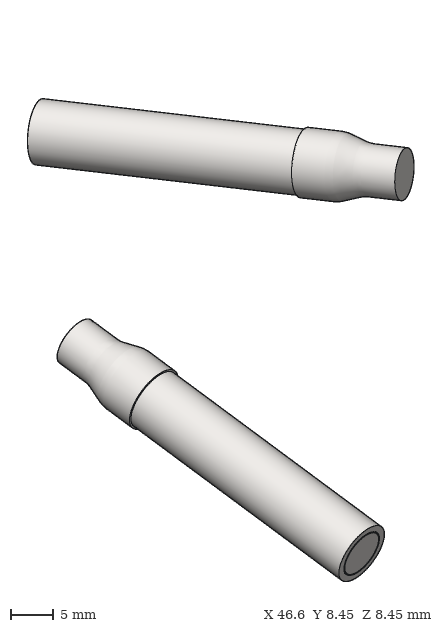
import cadquery as cq

overall_length = 46.55
tube_length = 33.8
tube_diameter = 7.95
bore_diameter = 6.2
core_gap = 0.15
collar_diameter = 8.45
nose_diameter = 6.4
taper_start = 38.55
taper_end = 41.75
taper_blend_radius = 3.2

tube_radius = tube_diameter / 2
bore_radius = bore_diameter / 2
core_radius = bore_radius - core_gap
collar_radius = collar_diameter / 2
nose_radius = nose_diameter / 2


def revolve_about_x(outline):
    """Close an outline of (x, radius) points and turn it about the X axis."""
    return cq.Workplane("XZ").polyline(outline).close().revolve(360, (0, 0, 0), (1, 0, 0))


def make_tube():
    """Straight tube that butts against the end cap."""
    return revolve_about_x([
        (0, bore_radius),
        (0, tube_radius),
        (tube_length, tube_radius),
        (tube_length, bore_radius),
    ])


def make_core():
    """Round core, flush with the tube's open end and clear of its bore by a narrow ring gap."""
    return revolve_about_x([
        (0, 0),
        (0, core_radius),
        (tube_length, core_radius),
        (tube_length, 0),
    ])


def make_end_cap():
    """Collar that tapers down to a nose, with both ends of the taper blended."""
    cap = revolve_about_x([
        (tube_length, 0),
        (tube_length, collar_radius),
        (taper_start, collar_radius),
        (taper_end, nose_radius),
        (overall_length, nose_radius),
        (overall_length, 0),
    ])
    taper_edges = cap.faces("%CONE").edges("%CIRCLE")
    return taper_edges.fillet(taper_blend_radius)


tube = make_tube()
core = make_core()
end_cap = make_end_cap()

result = cq.Compound.makeCompound([tube.val(), core.val(), end_cap.val()])